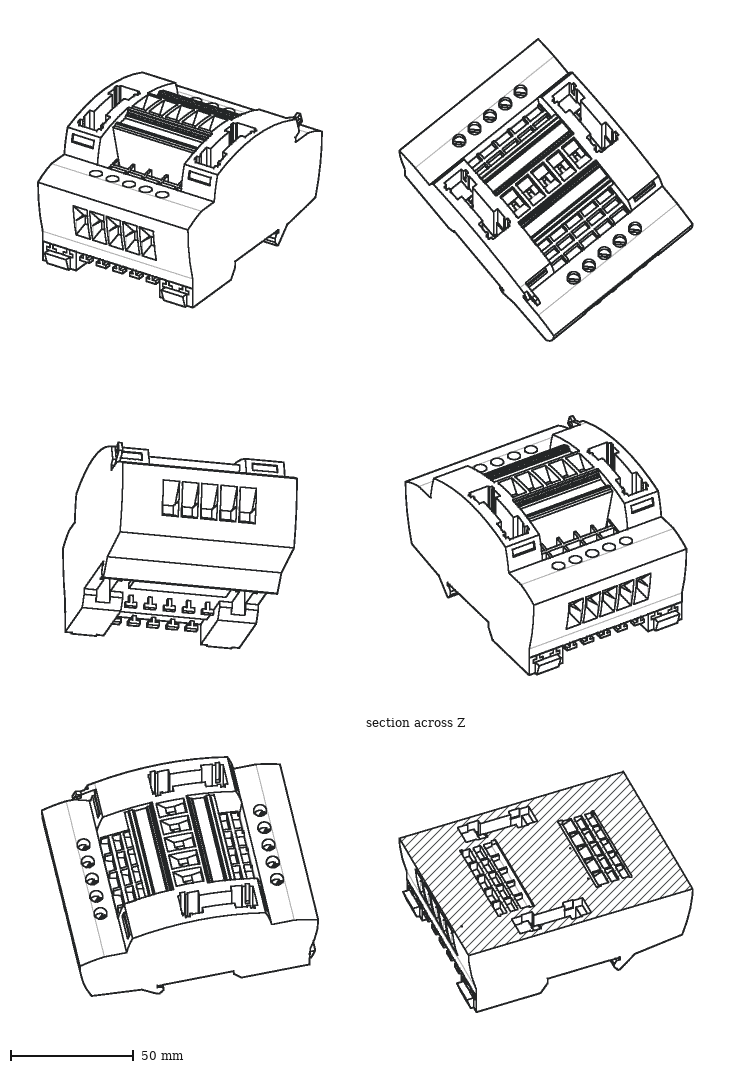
import cadquery as cq
import math

HOUSING_WIDTH = 73.3
HOUSING_LENGTH = 99.6
TOTAL_HEIGHT = 58.6
HALF_WIDTH = HOUSING_WIDTH / 2
HALF_LENGTH = HOUSING_LENGTH / 2

CROWN_HALF_LENGTH = 27.8
CROWN_EDGE_Z = 53.5
FLANK_MID_Y = 29.3
FLANK_MID_Z = 48.0
SHOULDER_INNER_Y = 30.3
SHOULDER_OUTER_Y = 39.7
SHOULDER_Z = 42.0
BROW_MID_Y = 44.9
BROW_MID_Z = 40.35
END_TOP_Z = 38.0
END_RADIUS = 85.7
FRONT_SKIRT_Y = -46.3
FRONT_SKIRT_Z = 13.6
REAR_END_Z = 9.5
BASE_Z = 7.1
BASE_STEP_Y = -35.9
BASE_STEP_Z = 8.9

HOOK_FRONT_Y = 14.8
HOOK_NECK_Y = 17.4
HOOK_NECK_Z = 5.8
HOOK_ROOT_Y = 24.0
HOOK_ROOT_Z = 6.5
HOOK_TIP_Y = 16.5
HOOK_SHOULDER_Y = 15.9
HOOK_NOSE_TOP_Z = 4.1
HOOK_NOSE_BOTTOM_Z = 2.4
HOOK_TIP_WIDTH = 0.8

PAD_HALF_LENGTH = 4.3
PAD_Z = 4.9
TRENCH_HALF_WIDTH = 20.4
FOOT_FRONT_Y = -46.1
FOOT_REAR_Y = -14.5
FOOT_CHAMFER_Y = -17.7
FOOT_CHAMFER_Z = 4.6
TAB_TOP_Y = -49.2
TAB_BOTTOM_Y = -47.4
TAB_TOP_Z = 5.6

LATCH_X = 28.5
TAB_AND_LABEL_WIDTH = 10.5
LATCH_HEAD_WIDTH = 9.0
LATCH_NECK_WIDTH = 5.8
LATCH_WIDE_WIDTH = 10.0
LATCH_NOTCH_WIDTH = 11.4
LATCH_TONGUE_WIDTH = 3.9
LATCH_REAR_Y = 6.1
LATCH_HEAD_REAR_Y = 3.2
LATCH_WIDE_REAR_Y = 2.1
LATCH_NECK_REAR_Y = -2.5
LATCH_TONGUE_TIP_Y = -14.5
LATCH_NECK_FRONT_Y = -16.0
LATCH_JOINT_Y = -16.5
LATCH_LEDGE_FRONT_Y = -17.8
LATCH_WIDE_FRONT_Y = -20.7
LATCH_FRONT_Y = -25.2
LATCH_REAR_NOTCH = (5.0, 3.1)
LATCH_FRONT_NOTCH = (-22.2, -23.9)
LATCH_POCKET_FLOOR_Z = 29.9
LATCH_NOTCH_FLOOR_Z = 39.9
LATCH_TONGUE_Z = 28.9
LATCH_LEDGE_Z = 27.9
LATCH_JOINT_FLOOR_Z = 25.9

POLE_COUNT = 5
POLE_SPAN = 32.4
POLE_PITCH = POLE_SPAN / (POLE_COUNT - 1)
POLE_XS = [(i - (POLE_COUNT - 1) / 2) * POLE_PITCH for i in range(POLE_COUNT)]

KEY_COUNT = 9
KEY_STEM_WIDTH = 1.5
KEY_BAR_WIDTH = 4.7
KEY_FRONT_Y = -46.2
KEY_LENGTH = 3.0
KEY_BAR_TOP_Z = 7.0
KEY_BAR_BOTTOM_Z = 5.5
INNER_KEY_FRONT_Y = -18.9
INNER_KEY_LENGTH = 2.0
INNER_KEY_BAR_TOP_Z = 4.1
INNER_KEY_BAR_BOTTOM_Z = 2.4

BRIDGE_HALF_LENGTH = 7.2
GRID_INNER_Y = -15.7
GRID_INNER_Z = 38.0
GRID_OUTER_Y = -28.6
GRID_OUTER_Z = 35.6
TRENCH_WALL_FOOT_Y = -13.4
TRENCH_OUTER_FOOT_Y = -29.3
INNER_CHANNEL_DEPTH = 6.0
OUTER_CHANNEL_DEPTH = 3.0
CELL_DEPTH = 6.0
CELL_WIDTH = 7.1
CELL_ROWS = [(GRID_INNER_Y, -19.3), (-20.7, -23.9), (-25.6, TRENCH_OUTER_FOOT_Y)]
FRONT_CELL_FLOOR_SLOPE = -0.2
REAR_CELL_FLOOR_SLOPE = 0.5

RIDGE_STEPS = [
    (-BRIDGE_HALF_LENGTH, 57.2),
    (-7.7, 57.1),
    (-7.9, 56.2),
    (-8.1, 56.1),
    (-8.4, 55.4),
    (-9.2, 55.3),
    (-9.7, 54.3),
    (-14.5, 53.5),
    (-14.7, 54.2),
    (-15.1, 54.3),
    (-15.4, 55.0),
    (-16.7, 55.0),
    (-17.2, 54.2),
    (-18.7, 54.1),
]

SOCKET_WIDTH = 6.5
SOCKET_HALF_LENGTH = 5.8
SOCKET_FLOOR_HALF_LENGTH = 1.9
SOCKET_FLOOR_Z = 52.8
SOCKET_RAMP_RISE = 1.4
SLOT_WIDTH = 1.8
SLOT_DEPTH = 3.4
SLOT_LOW_Y = -0.7
SLOT_RAMP_RISE = 0.4

SCREW_Y = 36.9
SCREW_SHIFT_X = -0.6
SCREW_RADIUS = 2.6
SCREW_DEPTH = 5.0
SCREW_SLOT_WIDTH = 1.0
SCREW_SLOT_DEPTH = 1.0
SCREW_SLOT_ANGLE = -45

WIRE_WIDTH = 6.8
WIRE_TOP_Z = 32.1
WIRE_SPLIT_Z = 24.2
WIRE_BOTTOM_Z = 17.5
WIRE_BACK_Y = -41.8
WIRE_BACK_WIDTH = 4.3
WIRE_BACK_BOTTOM_Z = 20.3
WIRE_BACK_SHIFT_X = -0.5

LABEL_TOP_Z = 51.5
LABEL_BOTTOM_Z = 48.2
LABEL_BACK_TOP_Y = 27.6
LABEL_BACK_BOTTOM_Y = 28.4

LUG_X = 33.6
LUG_PLATE_WIDTH = 1.6
LUG_ROOT_Y = 25.9
LUG_UNDERSIDE_Y = 30.1
LUG_UNDERSIDE_Z = 44.2
LUG_NOTCH_Y = 33.9
LUG_TIP = [(36.0, 52.2), (37.4, 48.2)]
LUG_WEB_TOP_Y = 30.7
LUG_WEB_BOTTOM = (32.9, 45.8)
LUG_HOLE = (34.9, 49.2)
LUG_HOLE_RADIUS = 1.0

CUT_TOP_Z = TOTAL_HEIGHT + 1
THROUGH_Z = -1.0


def block(x_range, y_range, z_range):
    """Box between the given limits along each axis."""
    sizes = [abs(b - a) for a, b in (x_range, y_range, z_range)]
    corner = [min(limits) for limits in (x_range, y_range, z_range)]
    return cq.Workplane("XY").box(*sizes, centered=False).translate(tuple(corner))


def centred_block(x, width, y_range, z_range):
    """Box of a given width centred on x."""
    return block((x - width / 2, x + width / 2), y_range, z_range)


def side_prism(points, x, width):
    """Prism with a (y, z) outline, centred on x."""
    outline = cq.Workplane("YZ").polyline(points).close()
    return outline.extrude(width / 2, both=True).translate((x, 0, 0))


def combine(shapes):
    """All the shapes fused into one."""
    first, *others = [shape.val() for shape in shapes]
    return cq.Workplane(first.fuse(*others))


def both_ends(shape):
    """The shape and its mirror image at the rear end."""
    return [shape, shape.mirror("XZ")]


def end_face_y(z):
    """Distance of the bowed end faces from the middle at height z."""
    drop = END_TOP_Z - z
    return HALF_LENGTH - END_RADIUS + math.sqrt(END_RADIUS**2 - drop**2)


def crown_radius():
    """Radius of the crown arc from its chord and rise."""
    rise = TOTAL_HEIGHT - CROWN_EDGE_Z
    return (CROWN_HALF_LENGTH**2 + rise**2) / (2 * rise)


def crown_z(y):
    """Height of the crown arc at y."""
    return TOTAL_HEIGHT - crown_radius() + math.sqrt(crown_radius()**2 - y**2)


def housing():
    """Extruded side outline with the rail hook, plus the rail pad."""
    front_mid_z = (END_TOP_Z + FRONT_SKIRT_Z) / 2
    rear_mid_z = (END_TOP_Z + REAR_END_Z) / 2
    hook_tip_rear_y = HOOK_TIP_Y + HOOK_TIP_WIDTH
    outline = (
        cq.Workplane("YZ")
        .moveTo(-CROWN_HALF_LENGTH, CROWN_EDGE_Z)
        .threePointArc((0, TOTAL_HEIGHT), (CROWN_HALF_LENGTH, CROWN_EDGE_Z))
        .threePointArc((FLANK_MID_Y, FLANK_MID_Z), (SHOULDER_INNER_Y, SHOULDER_Z))
        .lineTo(SHOULDER_OUTER_Y, SHOULDER_Z)
        .threePointArc((BROW_MID_Y, BROW_MID_Z), (HALF_LENGTH, END_TOP_Z))
        .threePointArc((end_face_y(rear_mid_z), rear_mid_z), (end_face_y(REAR_END_Z), REAR_END_Z))
        .lineTo(HOOK_ROOT_Y, HOOK_ROOT_Z)
        .lineTo(hook_tip_rear_y, 0)
        .lineTo(HOOK_TIP_Y, 0)
        .lineTo(HOOK_FRONT_Y, HOOK_NOSE_BOTTOM_Z)
        .lineTo(HOOK_FRONT_Y, HOOK_NOSE_TOP_Z)
        .lineTo(HOOK_SHOULDER_Y, HOOK_NECK_Z)
        .lineTo(HOOK_NECK_Y, HOOK_NECK_Z)
        .lineTo(HOOK_NECK_Y, BASE_Z)
        .lineTo(BASE_STEP_Y, BASE_Z)
        .lineTo(BASE_STEP_Y, BASE_STEP_Z)
        .lineTo(FRONT_SKIRT_Y, BASE_STEP_Z)
        .lineTo(FRONT_SKIRT_Y, FRONT_SKIRT_Z)
        .threePointArc((-end_face_y(front_mid_z), front_mid_z), (-HALF_LENGTH, END_TOP_Z))
        .threePointArc((-BROW_MID_Y, BROW_MID_Z), (-SHOULDER_OUTER_Y, SHOULDER_Z))
        .lineTo(-SHOULDER_INNER_Y, SHOULDER_Z)
        .threePointArc((-FLANK_MID_Y, FLANK_MID_Z), (-CROWN_HALF_LENGTH, CROWN_EDGE_Z))
        .close()
    )
    pad = block(
        (-TRENCH_HALF_WIDTH, TRENCH_HALF_WIDTH),
        (-PAD_HALF_LENGTH, PAD_HALF_LENGTH),
        (PAD_Z, BASE_Z),
    )
    return outline.extrude(HALF_WIDTH, both=True).union(pad)


def foot(side):
    """Rail foot with its release tab under one side block."""
    width = HALF_WIDTH - TRENCH_HALF_WIDTH
    outline = [
        (FOOT_FRONT_Y, 0),
        (FOOT_CHAMFER_Y, 0),
        (FOOT_REAR_Y, FOOT_CHAMFER_Z),
        (FOOT_REAR_Y, BASE_Z),
        (BASE_STEP_Y, BASE_Z),
        (BASE_STEP_Y, BASE_STEP_Z),
        (FOOT_FRONT_Y, BASE_STEP_Z),
    ]
    tab = [
        (FOOT_FRONT_Y, 0),
        (TAB_BOTTOM_Y, 0),
        (TAB_TOP_Y, TAB_TOP_Z),
        (FOOT_FRONT_Y, TAB_TOP_Z),
    ]
    body = side_prism(outline, side * (HALF_WIDTH + TRENCH_HALF_WIDTH) / 2, width)
    return body.union(side_prism(tab, side * LATCH_X, TAB_AND_LABEL_WIDTH))


def tee_key(x, front_y, length, top_z, bar_top_z, bar_bottom_z):
    """Hanging key with a narrow stem and a wide bar."""
    y_range = (front_y, front_y + length)
    stem = centred_block(x, KEY_STEM_WIDTH, y_range, (bar_top_z, top_z))
    bar = centred_block(x, KEY_BAR_WIDTH, y_range, (bar_bottom_z, bar_top_z))
    return stem.union(bar)


def seal_lug():
    """Pierced plate with a short web, running on from the crown along its tangent."""
    crown_slope = CROWN_HALF_LENGTH / math.sqrt(crown_radius()**2 - CROWN_HALF_LENGTH**2)

    def on_tangent(y):
        return (y, CROWN_EDGE_Z - crown_slope * (y - CROWN_HALF_LENGTH))

    root = [
        (LUG_UNDERSIDE_Y, LUG_UNDERSIDE_Z),
        (LUG_ROOT_Y, LUG_UNDERSIDE_Z),
        (LUG_ROOT_Y, CROWN_EDGE_Z),
        on_tangent(CROWN_HALF_LENGTH),
    ]
    plate = root + [on_tangent(LUG_NOTCH_Y), *LUG_TIP]
    web = root + [on_tangent(LUG_WEB_TOP_Y), LUG_WEB_BOTTOM]
    web_width = HALF_WIDTH - LUG_X
    lug = side_prism(plate, LUG_X + LUG_PLATE_WIDTH / 2, LUG_PLATE_WIDTH)
    lug = lug.union(side_prism(web, LUG_X + web_width / 2, web_width))
    hole = cq.Workplane("YZ").center(*LUG_HOLE).circle(LUG_HOLE_RADIUS).extrude(HALF_WIDTH)
    return lug.cut(hole)


def grid_z(y):
    """Height of the sloping cell grid at y."""
    slope = (GRID_INNER_Z - GRID_OUTER_Z) / (GRID_INNER_Y - GRID_OUTER_Y)
    return GRID_INNER_Z + slope * (y - GRID_INNER_Y)


def cell(x, y_range, floor_slope):
    """Cell sunk into the grid; the floor rises outward by the given slope."""
    inner_y, outer_y = y_range
    inner_floor_z = grid_z(inner_y) - CELL_DEPTH
    outer_floor_z = inner_floor_z + floor_slope * (inner_y - outer_y)
    outline = [
        (inner_y, grid_z(inner_y)),
        (outer_y, grid_z(outer_y)),
        (outer_y, outer_floor_z),
        (inner_y, inner_floor_z),
    ]
    return side_prism(outline, x, CELL_WIDTH)


def trench(floor_slope):
    """Front trench: ridge steps, leaning wall and cell grid between two channels."""
    inner_floor_z = GRID_INNER_Z - INNER_CHANNEL_DEPTH
    outer_floor_z = GRID_OUTER_Z - OUTER_CHANNEL_DEPTH
    outline = [
        (-SHOULDER_INNER_Y, CUT_TOP_Z),
        (-BRIDGE_HALF_LENGTH, CUT_TOP_Z),
        *RIDGE_STEPS,
        (TRENCH_WALL_FOOT_Y, inner_floor_z),
        (GRID_INNER_Y, inner_floor_z),
        (GRID_INNER_Y, GRID_INNER_Z),
        (GRID_OUTER_Y, GRID_OUTER_Z),
        (GRID_OUTER_Y, outer_floor_z),
        (TRENCH_OUTER_FOOT_Y, outer_floor_z),
        (-SHOULDER_INNER_Y, SHOULDER_Z),
    ]
    cells = [cell(x, y_range, floor_slope) for y_range in CELL_ROWS for x in POLE_XS]
    return combine([side_prism(outline, 0, 2 * TRENCH_HALF_WIDTH)] + cells)


def socket(x):
    """Socket across the bridge: steep rear face, low front ramp and a slot in its floor."""
    opening = [
        (-SOCKET_HALF_LENGTH, CUT_TOP_Z),
        (SOCKET_HALF_LENGTH, CUT_TOP_Z),
        (SOCKET_HALF_LENGTH, crown_z(SOCKET_HALF_LENGTH)),
        (SOCKET_FLOOR_HALF_LENGTH, SOCKET_FLOOR_Z),
        (-SOCKET_FLOOR_HALF_LENGTH, SOCKET_FLOOR_Z),
        (-SOCKET_HALF_LENGTH, SOCKET_FLOOR_Z + SOCKET_RAMP_RISE),
    ]
    slot_floor_z = SOCKET_FLOOR_Z - SLOT_DEPTH
    slot = [
        (-SOCKET_FLOOR_HALF_LENGTH, SOCKET_FLOOR_Z),
        (SOCKET_FLOOR_HALF_LENGTH, SOCKET_FLOOR_Z),
        (SLOT_LOW_Y, slot_floor_z),
        (-SOCKET_FLOOR_HALF_LENGTH, slot_floor_z + SLOT_RAMP_RISE),
    ]
    return combine([side_prism(opening, x, SOCKET_WIDTH), side_prism(slot, x, SLOT_WIDTH)])


def screw_hole(x, y):
    """Screw well with a diagonal driver slot in its floor."""
    floor_z = SHOULDER_Z - SCREW_DEPTH
    well = cq.Workplane("XY").workplane(offset=floor_z).center(x, y)
    well = well.circle(SCREW_RADIUS).extrude(SCREW_DEPTH)
    blank = cq.Workplane("XY").circle(SCREW_RADIUS).extrude(SCREW_SLOT_DEPTH)
    bar = cq.Workplane("XY").rect(2 * SCREW_RADIUS, SCREW_SLOT_WIDTH).extrude(SCREW_SLOT_DEPTH)
    slot = bar.rotate((0, 0, 0), (0, 0, 1), SCREW_SLOT_ANGLE).intersect(blank)
    return well.union(slot.translate((x, y, floor_z - SCREW_SLOT_DEPTH)))


def wire_entry(x):
    """Front wire entry: sloping roof above a funnel."""
    roof = [
        (-HALF_LENGTH, WIRE_TOP_Z),
        (-end_face_y(WIRE_TOP_Z), WIRE_TOP_Z),
        (WIRE_BACK_Y, WIRE_SPLIT_Z),
        (-HALF_LENGTH, WIRE_SPLIT_Z),
    ]
    mouth_y = -end_face_y(WIRE_BOTTOM_Z)
    mouth_mid_z = (WIRE_SPLIT_Z + WIRE_BOTTOM_Z) / 2
    back_mid_z = (WIRE_SPLIT_Z + WIRE_BACK_BOTTOM_Z) / 2
    depth = WIRE_BACK_Y - mouth_y
    mouth_height = WIRE_SPLIT_Z - WIRE_BOTTOM_Z
    funnel = (
        cq.Workplane("XZ", origin=(x, mouth_y, mouth_mid_z))
        .rect(WIRE_WIDTH, mouth_height)
        .workplane(offset=-depth)
        .center(WIRE_BACK_SHIFT_X, back_mid_z - mouth_mid_z)
        .rect(WIRE_BACK_WIDTH, WIRE_SPLIT_Z - WIRE_BACK_BOTTOM_Z)
        .loft(ruled=True)
    )
    mouth = centred_block(x, WIRE_WIDTH, (-HALF_LENGTH, mouth_y), (WIRE_BOTTOM_Z, WIRE_SPLIT_Z))
    return combine([side_prism(roof, x, WIRE_WIDTH), funnel, mouth])


def label_window(side):
    """Shallow window in the flank; its back leans like the flank."""
    outline = [
        (-SHOULDER_INNER_Y, LABEL_TOP_Z),
        (-LABEL_BACK_TOP_Y, LABEL_TOP_Z),
        (-LABEL_BACK_BOTTOM_Y, LABEL_BOTTOM_Z),
        (-SHOULDER_INNER_Y, LABEL_BOTTOM_Z),
    ]
    return side_prism(outline, side * LATCH_X, TAB_AND_LABEL_WIDTH)


def latch_opening(side):
    """Keyhole-shaped opening through a side block with a stepped recess at each end."""
    x = side * LATCH_X

    def well(width, rear_y, front_y, floor_z):
        return centred_block(x, width, (front_y, rear_y), (floor_z, CUT_TOP_Z))

    opening = combine([
        well(LATCH_HEAD_WIDTH, LATCH_HEAD_REAR_Y, LATCH_NECK_REAR_Y, THROUGH_Z),
        well(LATCH_NECK_WIDTH, LATCH_NECK_REAR_Y, LATCH_NECK_FRONT_Y, THROUGH_Z),
        well(LATCH_HEAD_WIDTH, LATCH_REAR_Y, LATCH_HEAD_REAR_Y, LATCH_POCKET_FLOOR_Z),
        well(LATCH_WIDE_WIDTH, LATCH_WIDE_REAR_Y, LATCH_NECK_REAR_Y, LATCH_POCKET_FLOOR_Z),
        well(LATCH_WIDE_WIDTH, LATCH_NECK_FRONT_Y, LATCH_JOINT_Y, LATCH_JOINT_FLOOR_Z),
        well(LATCH_WIDE_WIDTH, LATCH_JOINT_Y, LATCH_LEDGE_FRONT_Y, LATCH_LEDGE_Z),
        well(LATCH_WIDE_WIDTH, LATCH_LEDGE_FRONT_Y, LATCH_WIDE_FRONT_Y, LATCH_POCKET_FLOOR_Z),
        well(LATCH_HEAD_WIDTH, LATCH_WIDE_FRONT_Y, LATCH_FRONT_Y, LATCH_POCKET_FLOOR_Z),
        well(LATCH_NOTCH_WIDTH, *LATCH_REAR_NOTCH, LATCH_NOTCH_FLOOR_Z),
        well(LATCH_NOTCH_WIDTH, *LATCH_FRONT_NOTCH, LATCH_NOTCH_FLOOR_Z),
    ])
    tongue = centred_block(
        x,
        LATCH_TONGUE_WIDTH,
        (LATCH_LEDGE_FRONT_Y, LATCH_TONGUE_TIP_Y),
        (LATCH_JOINT_FLOOR_Z, LATCH_TONGUE_Z),
    )
    return opening.cut(tongue)


def added_parts():
    """Housing, feet and keys, fused before any cutting."""
    parts = [housing(), foot(-1), foot(1)]
    for i in range(KEY_COUNT):
        x = (i - (KEY_COUNT - 1) / 2) * POLE_PITCH
        parts.append(
            tee_key(x, KEY_FRONT_Y, KEY_LENGTH, BASE_STEP_Z, KEY_BAR_TOP_Z, KEY_BAR_BOTTOM_Z)
        )
    for x in POLE_XS:
        parts.append(
            tee_key(
                x,
                INNER_KEY_FRONT_Y,
                INNER_KEY_LENGTH,
                BASE_Z,
                INNER_KEY_BAR_TOP_Z,
                INNER_KEY_BAR_BOTTOM_Z,
            )
        )
    return parts


def removed_parts():
    """Every opening cut into the fused body."""
    parts = [
        trench(FRONT_CELL_FLOOR_SLOPE),
        trench(REAR_CELL_FLOOR_SLOPE).mirror("XZ"),
    ]
    for x in POLE_XS:
        parts.append(socket(x))
        parts.extend(both_ends(wire_entry(x)))
        parts.append(screw_hole(x + SCREW_SHIFT_X, -SCREW_Y))
        parts.append(screw_hole(x + SCREW_SHIFT_X, SCREW_Y))
    for side in (-1, 1):
        parts.extend(both_ends(label_window(side)))
        parts.append(latch_opening(side))
    return parts


body = combine(added_parts()).val()
body = body.cut(*[part.val() for part in removed_parts()])
result = cq.Workplane(body).union(seal_lug())